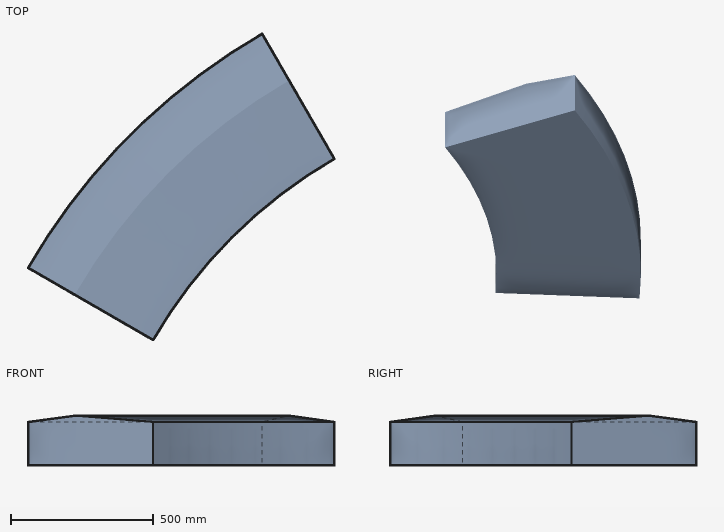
import cadquery as cq

inner_radius = 1740.75
ring_width = 508.0
start_angle = 120.0
sweep_angle = 30.0

total_height = 174.62
side_height = 152.4
ridge_inset = 190.5

outer_radius = inner_radius + ring_width
ridge_radius = outer_radius - ridge_inset


def ridged_section():
    """Cross-section in the XZ plane, with radius along X and height along Z."""
    corners = [
        (inner_radius, 0),
        (outer_radius, 0),
        (outer_radius, side_height),
        (ridge_radius, total_height),
        (inner_radius, side_height),
    ]
    return cq.Workplane("XZ").polyline(corners).close()


def ring_sector():
    """Revolve the section about Z, then turn the sector to its starting angle."""
    sector = ridged_section().revolve(sweep_angle, (0, 0, 0), (0, 1, 0))
    return sector.rotate((0, 0, 0), (0, 0, 1), start_angle)


result = ring_sector()